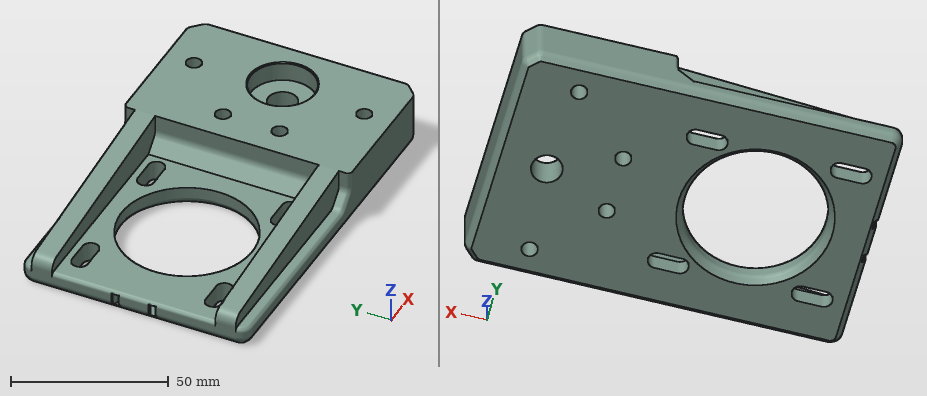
import cadquery as cq

LENGTH = 124.2
WIDTH = 80.0
HEIGHT = 19.0

FRONT_CORNER_RADIUS = 4.0
REAR_CORNER_CHAMFER = 4.3
REAR_CORNER_RADIUS = 3.0

BOTTOM_CHAMFER = 2.1
BOTTOM_BLEND_RADIUS = 3.0

FLOOR_Z = 7.1
BLOCK_FRONT_X = 74.0
SLOPE_SIZE = 5.0
STEP_BLEND_RADIUS = 3.0
RIM_CHAMFER = 1.0
RIM_BLEND_RADIUS = 1.0

WALL_INSET = 4.0
WALL_THICKNESS = 7.2
WALL_FRONT_HEIGHT = 11.0
WALL_NOSE_RADIUS = 4.0
WALL_BASE_Z = 3.7
WALL_OUTER_Y = WIDTH / 2 - WALL_INSET
WALL_INNER_Y = WALL_OUTER_Y - WALL_THICKNESS
WALL_MID_Y = (WALL_OUTER_Y + WALL_INNER_Y) / 2

MOTOR_X = 38.3
MOTOR_BORE_DIAMETER = 46.1
BORE_CHAMFER = 2.1
BORE_BLEND_RADIUS = 2.0
SLOT_CENTER_X = 36.9
SLOT_SPACING = 47.2
SLOT_LENGTH = 13.3
SLOT_WIDTH = 5.6

PIVOT_X = 106.7
PIVOT_DIAMETER = 10.0
COUNTERBORE_DIAMETER = 22.4
COUNTERBORE_DEPTH = 7.0
COUNTERBORE_CHAMFER = 0.4
SCREW_HOLE_DIAMETER = 5.2
INNER_SCREW_X = 84.3
INNER_SCREW_SPACING = 20.0
OUTER_SCREW_X = 104.2
OUTER_SCREW_SPACING = 60.1

TUNNEL_INNER_DIAMETER = 11.0
TUNNEL_OUTER_DIAMETER = 15.0
TUNNEL_BASE_Z = 1.1
TUNNEL_HEIGHT = 5.0
TUNNEL_MOUTH_CHAMFER = 0.4

CLEARANCE = 1.2
TOLERANCE = 0.01


def rounded_plate():
    """Full-height blank with its corners shaped and its bottom edge eased."""
    blank = cq.Workplane("XY").box(LENGTH, WIDTH, HEIGHT, centered=(False, True, False))
    blank = blank.edges("|Z and >X").chamfer(REAR_CORNER_CHAMFER)
    rear_edges = cq.selectors.BoxSelector(
        (LENGTH - REAR_CORNER_CHAMFER - CLEARANCE, -WIDTH, 0),
        (LENGTH + CLEARANCE, WIDTH, HEIGHT),
    )
    blank = blank.edges("|Z").edges(rear_edges).fillet(REAR_CORNER_RADIUS)
    blank = blank.edges("|Z and <X").fillet(FRONT_CORNER_RADIUS)
    blank = blank.faces("<Z").edges().chamfer(BOTTOM_CHAMFER)
    chamfer_top = cq.selectors.BoxSelector(
        (-CLEARANCE, -WIDTH, BOTTOM_CHAMFER - TOLERANCE),
        (LENGTH + CLEARANCE, WIDTH, BOTTOM_CHAMFER + TOLERANCE),
    )
    return blank.edges(chamfer_top).fillet(BOTTOM_BLEND_RADIUS)


def tray_relief(y_start, y_end, rounded_foot):
    """Space above the tray floor, ending in a 45 degree slope and the block face."""
    foot_x = BLOCK_FRONT_X - SLOPE_SIZE
    slope_top_z = FLOOR_Z + SLOPE_SIZE
    space = (
        cq.Workplane("XZ", origin=(0, y_end, 0))
        .moveTo(-CLEARANCE, FLOOR_Z)
        .lineTo(foot_x, FLOOR_Z)
        .lineTo(BLOCK_FRONT_X, slope_top_z)
        .lineTo(BLOCK_FRONT_X, HEIGHT + CLEARANCE)
        .lineTo(-CLEARANCE, HEIGHT + CLEARANCE)
        .close()
        .extrude(y_end - y_start)
    )
    y_middle = (y_start + y_end) / 2
    space = space.edges(cq.NearestToPointSelector((BLOCK_FRONT_X, y_middle, slope_top_z)))
    space = space.fillet(STEP_BLEND_RADIUS)
    if rounded_foot:
        foot = cq.NearestToPointSelector((foot_x, y_middle, FLOOR_Z))
        space = space.edges(foot).fillet(STEP_BLEND_RADIUS)
    return space


def ease_rim(body):
    """Chamfer the outer edges of the tray and block face, then blend the chamfer."""
    corner_y = WIDTH / 2 - FRONT_CORNER_RADIUS / 2

    def on_rim(edge):
        center = edge.Center()
        beside_relief = center.z > FLOOR_Z - TOLERANCE and center.x < BLOCK_FRONT_X + TOLERANCE
        return beside_relief and (center.x < TOLERANCE or abs(center.y) > corner_y)

    def along_chamfer(edge):
        center = edge.Center()
        above_side = center.z > FLOOR_Z - RIM_CHAMFER - TOLERANCE
        before_block = center.x < BLOCK_FRONT_X + RIM_CHAMFER + TOLERANCE
        at_outline = center.x < RIM_CHAMFER + TOLERANCE or abs(center.y) > corner_y - RIM_CHAMFER
        crosses_chamfer = edge.Length() < 2 * RIM_CHAMFER
        return above_side and before_block and at_outline and not crosses_chamfer

    body = body.edges().filter(on_rim).chamfer(RIM_CHAMFER)
    return body.edges().filter(along_chamfer).fillet(RIM_BLEND_RADIUS)


def side_wall(y_center):
    """Tapered wall from the rounded nose up to the top of the block."""
    nose = cq.NearestToPointSelector((0, y_center, WALL_FRONT_HEIGHT))
    return (
        cq.Workplane("XZ", origin=(0, y_center + WALL_THICKNESS / 2, 0))
        .moveTo(0, WALL_BASE_Z)
        .lineTo(0, WALL_FRONT_HEIGHT)
        .lineTo(BLOCK_FRONT_X, HEIGHT)
        .lineTo(BLOCK_FRONT_X, WALL_BASE_Z)
        .close()
        .extrude(WALL_THICKNESS)
        .edges(nose)
        .fillet(WALL_NOSE_RADIUS)
    )


def motor_bore():
    """Motor bore flaring out at the bottom through a blended 45 degree chamfer."""
    radius = MOTOR_BORE_DIAMETER / 2
    flare_edge = cq.NearestToPointSelector((MOTOR_X, 0, BORE_CHAMFER))
    return (
        cq.Workplane("XZ", origin=(MOTOR_X, 0, 0))
        .lineTo(radius + BORE_CHAMFER, 0)
        .lineTo(radius, BORE_CHAMFER)
        .lineTo(radius, HEIGHT)
        .lineTo(0, HEIGHT)
        .close()
        .revolve(360, (0, 0, 0), (0, 1, 0))
        .edges("%CIRCLE")
        .edges(flare_edge)
        .fillet(BORE_BLEND_RADIUS)
    )


def motor_slots():
    """Four mounting slots through the tray floor."""
    return (
        cq.Workplane("XY")
        .center(SLOT_CENTER_X, 0)
        .rect(SLOT_SPACING, SLOT_SPACING, forConstruction=True)
        .vertices()
        .slot2D(SLOT_LENGTH, SLOT_WIDTH)
        .extrude(HEIGHT)
    )


def block_holes():
    """Pivot hole with its chamfered counterbore, and the four screw holes."""
    counterbore = (
        cq.Workplane("XY", origin=(PIVOT_X, 0, HEIGHT - COUNTERBORE_DEPTH))
        .circle(COUNTERBORE_DIAMETER / 2)
        .extrude(COUNTERBORE_DEPTH)
    )
    mouth = (
        cq.Workplane("XY", origin=(PIVOT_X, 0, HEIGHT))
        .circle(COUNTERBORE_DIAMETER / 2 + COUNTERBORE_CHAMFER)
        .extrude(-COUNTERBORE_CHAMFER, taper=45)
    )
    pivot = cq.Workplane("XY").center(PIVOT_X, 0).circle(PIVOT_DIAMETER / 2).extrude(HEIGHT)
    screw_points = [
        (x, side * spacing / 2)
        for x, spacing in ((INNER_SCREW_X, INNER_SCREW_SPACING), (OUTER_SCREW_X, OUTER_SCREW_SPACING))
        for side in (-1, 1)
    ]
    screws = cq.Workplane("XY").pushPoints(screw_points).circle(SCREW_HOLE_DIAMETER / 2).extrude(HEIGHT)
    return counterbore.union(mouth).union(pivot).union(screws)


def tie_tunnel():
    """Ring-shaped tunnel centred on the front face, closed above and below."""
    return (
        cq.Workplane("XY", origin=(0, 0, TUNNEL_BASE_Z))
        .circle(TUNNEL_OUTER_DIAMETER / 2)
        .circle(TUNNEL_INNER_DIAMETER / 2)
        .extrude(TUNNEL_HEIGHT)
    )


def ease_tunnel_mouths(body):
    """Chamfer the sides and base of each opening of the tie tunnel."""
    roof_z = TUNNEL_BASE_Z + TUNNEL_HEIGHT
    inside_y = TUNNEL_INNER_DIAMETER / 2 - TUNNEL_MOUTH_CHAMFER
    outside_y = TUNNEL_OUTER_DIAMETER / 2 + TUNNEL_MOUTH_CHAMFER

    def on_mouth(edge):
        center = edge.Center()
        at_front = center.x < BOTTOM_CHAMFER and center.z < roof_z - TOLERANCE
        return at_front and inside_y < abs(center.y) < outside_y

    return body.edges().filter(on_mouth).chamfer(TUNNEL_MOUTH_CHAMFER)


sharp_half = tray_relief(-WALL_MID_Y, WIDTH, rounded_foot=False)
rounded_half = tray_relief(-WIDTH, -WALL_MID_Y, rounded_foot=True)
result = ease_rim(rounded_plate().cut(sharp_half).cut(rounded_half))

for wall_side in (-1, 1):
    result = result.union(side_wall(wall_side * WALL_MID_Y))

result = result.cut(motor_bore()).cut(motor_slots()).cut(block_holes()).cut(tie_tunnel())
result = ease_tunnel_mouths(result)